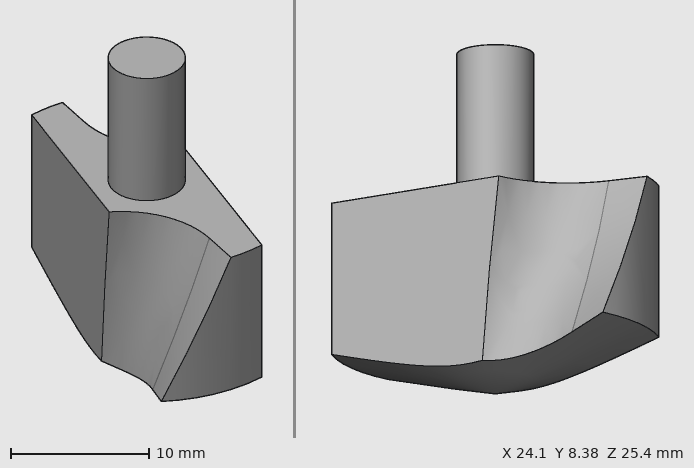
import cadquery as cq
import math

total_height = 25.4
shank_diameter = 5.6
head_diameter = 24.1
head_thickness = 8.38
head_top = 14.94
cone_height = 3.6

land_x, land_y = 8.97, 1.07
lip_angle = 7.8
flute_radius = 7.4
flute_reach = 15.25
side_twist = 25.3
twist_rate = side_twist / (head_top - cone_height)

head_radius = head_diameter / 2


def make_head():
    """Pointed round blank, flattened on its two Y sides."""
    blank = (
        cq.Workplane("XZ")
        .polyline([(0, 0), (head_radius, cone_height), (head_radius, head_top), (0, head_top)])
        .close()
        .revolve(360, (0, 0, 0), (0, 1, 0))
    )
    slab = cq.Workplane("XY").box(head_diameter, head_thickness, head_top, centered=(True, True, False))
    return blank.intersect(slab)


def make_flute():
    """Helical flute cutter on the +X side, twisting counterclockwise as it rises."""
    slope = math.radians(lip_angle)
    center_x = land_x + flute_radius * math.sin(slope)
    center_y = land_y - flute_radius * math.cos(slope)

    start_angle = math.pi / 2 + slope
    middle_angle = (start_angle + math.pi) / 2
    arc_middle = (
        center_x + flute_radius * math.cos(middle_angle),
        center_y + flute_radius * math.sin(middle_angle),
    )
    arc_end = (center_x - flute_radius, center_y)
    lip_end = (flute_reach, land_y + (flute_reach - land_x) * math.tan(slope))

    twist = twist_rate * head_top
    return (
        cq.Workplane("XY")
        .transformed(rotate=(0, 0, -twist))
        .moveTo(*lip_end)
        .lineTo(land_x, land_y)
        .threePointArc(arc_middle, arc_end)
        .lineTo(arc_end[0], -flute_reach)
        .lineTo(flute_reach, -flute_reach)
        .close()
        .twistExtrude(head_top, twist)
    )


head = make_head()
flute = make_flute()
for turn in (0, 180):
    head = head.cut(flute.rotate((0, 0, 0), (0, 0, 1), turn))

shank = (
    cq.Workplane("XY")
    .workplane(offset=head_top)
    .circle(shank_diameter / 2)
    .extrude(total_height - head_top)
)

result = head.union(shank)